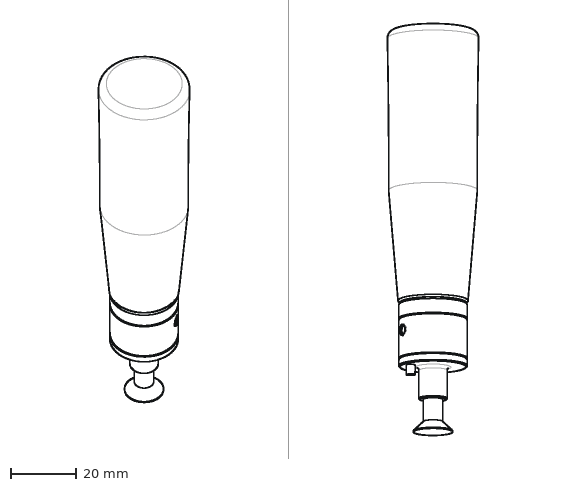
import cadquery as cq

total_height = 125.0
small_chamfer = 0.4

foot_radius = 6.0
foot_rim_height = 0.4
spindle_radius = 3.0
foot_height = 3.2

sleeve_radius = 4.4
sleeve_bottom = 10.1
sleeve_blend = 1.0

collar_radius = 10.5
collar_bottom = 20.2
collar_top = 40.2
collar_top_chamfer = 0.6
groove_heights = (22.8, 35.1)
groove_width = 0.4
groove_depth = 0.1
flat_bottom = 25.2
flat_offset = 9.0

hole_height = 31.0
hole_diameter = 2.5
hole_mouth_diameter = 3.5
hole_mouth_depth = 0.5

pin_diameter = 2.8
pin_offset = 7.6
pin_bottom = 17.2

grip_bottom = collar_top
grip_bottom_radius = 10.8
grip_bottom_chamfer = 0.6
grip_shoulder_height = 75.2
grip_shoulder_radius = 13.6
grip_waist_height = 92.5
grip_waist_radius = 13.6
grip_top_radius = 14.0
top_fillet = 2.4


def make_spindle():
    """Foot, spindle and sleeve, turned about Z up to the collar."""
    return (
        cq.Workplane("XZ")
        .lineTo(foot_radius, 0)
        .lineTo(foot_radius, foot_rim_height)
        .lineTo(spindle_radius, foot_height)
        .lineTo(spindle_radius, sleeve_bottom)
        .lineTo(sleeve_radius - small_chamfer, sleeve_bottom)
        .lineTo(sleeve_radius, sleeve_bottom + small_chamfer)
        .lineTo(sleeve_radius, collar_bottom - sleeve_blend)
        .radiusArc((sleeve_radius + sleeve_blend, collar_bottom), sleeve_blend)
        .lineTo(0, collar_bottom)
        .close()
        .revolve(360, (0, 0, 0), (0, 1, 0))
    )


def make_collar():
    """Collar with a flat on its +Y side, chamfered ends and two fine grooves."""
    flat_cutter = cq.Workplane("XY", origin=(0, flat_offset, flat_bottom)).box(
        2 * collar_radius, collar_radius, collar_top - flat_bottom, centered=(True, False, False)
    )
    collar = (
        cq.Workplane("XY", origin=(0, 0, collar_bottom))
        .circle(collar_radius)
        .extrude(collar_top - collar_bottom)
        .cut(flat_cutter)
        .faces(">Z")
        .chamfer(collar_top_chamfer)
        .faces("<Z")
        .chamfer(small_chamfer)
    )
    for height in groove_heights:
        groove = (
            cq.Workplane("XY", origin=(0, 0, height - groove_width / 2))
            .circle(collar_radius + groove_depth)
            .circle(collar_radius - groove_depth)
            .extrude(groove_width)
        )
        collar = collar.cut(groove)
    return collar


def make_grip():
    """Handle turned about Z, with a concave upper part and a rounded top edge."""
    return (
        cq.Workplane("XZ")
        .moveTo(0, grip_bottom)
        .lineTo(grip_bottom_radius - grip_bottom_chamfer, grip_bottom)
        .lineTo(grip_bottom_radius, grip_bottom + grip_bottom_chamfer)
        .lineTo(grip_shoulder_radius, grip_shoulder_height)
        .threePointArc(
            (grip_waist_radius, grip_waist_height),
            (grip_top_radius, total_height - top_fillet),
        )
        .radiusArc((grip_top_radius - top_fillet, total_height), -top_fillet)
        .lineTo(0, total_height)
        .close()
        .revolve(360, (0, 0, 0), (0, 1, 0))
    )


def make_cross_hole():
    """Through hole along X with a shallow counterbore at each end."""
    half_profile = (
        cq.Workplane("XY", origin=(0, 0, hole_height))
        .lineTo(collar_radius, 0)
        .lineTo(collar_radius, hole_mouth_diameter / 2)
        .lineTo(collar_radius - hole_mouth_depth, hole_mouth_diameter / 2)
        .lineTo(collar_radius - hole_mouth_depth, hole_diameter / 2)
        .lineTo(0, hole_diameter / 2)
        .close()
    )
    half_hole = half_profile.revolve(360, (0, 0, 0), (1, 0, 0))
    return half_hole.union(half_hole.mirror("YZ"))


def make_pin():
    """Locating pin hanging below the collar on the -X side."""
    return (
        cq.Workplane("XY", origin=(-pin_offset, 0, pin_bottom))
        .circle(pin_diameter / 2)
        .extrude(collar_bottom - pin_bottom)
    )


body = make_spindle().union(make_collar()).union(make_grip()).union(make_pin())
result = body.cut(make_cross_hole())